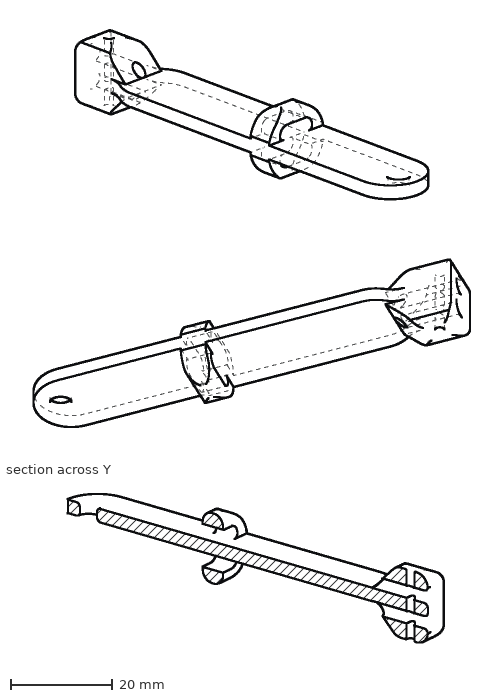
import cadquery as cq
import math

length = 90.5
width = 15.0
height = width
plate_thickness = 3.0
envelope_radius = 7.8

head_width = 10.05
head_length = 14.0
edge_radius = 3.0

end_radius = width / 2
shoulder_end_x = 18.0
shoulder_outer_radius = 7.5
shoulder_inner_radius = 6.3

loop_center_x = 54.0
loop_length = 5.25
loop_edge_radius = 2.4
opening_width = 9.0
opening_top = 4.5
opening_outer_radius = 2.0
opening_plate_radius = 0.9

cord_hole_diameter = 2.5
cord_hole_offset = 2.7
cord_mouth_radius = 1.1
pin_hole_diameter = 1.8
pin_hole_x = 4.4
pin_mouth_radius = 0.45
hang_hole_diameter = 4.2
hang_hole_x = 85.25
hang_mouth_radius = 1.0


def make_envelope():
    """Lengthwise cylinder that rounds off the corners of the section."""
    return cq.Workplane("YZ").circle(envelope_radius).extrude(length)


def make_plate():
    """Flat bar with a round end and tangent-arc shoulders."""
    half_head = head_width / 2
    half_width = width / 2
    radius_sum = shoulder_outer_radius + shoulder_inner_radius
    sweep = math.acos(1 - (half_width - half_head) / radius_sum)
    shoulder_start_x = shoulder_end_x - radius_sum * math.sin(sweep)
    joint_x = shoulder_end_x - shoulder_outer_radius * math.sin(sweep)
    joint_y = half_width - shoulder_outer_radius * (1 - math.cos(sweep))
    return (
        cq.Workplane("XY", origin=(0, 0, -plate_thickness / 2))
        .moveTo(shoulder_start_x, -half_head)
        .radiusArc((joint_x, -joint_y), shoulder_inner_radius)
        .radiusArc((shoulder_end_x, -half_width), -shoulder_outer_radius)
        .lineTo(length - end_radius, -half_width)
        .threePointArc((length, 0), (length - end_radius, half_width))
        .lineTo(shoulder_end_x, half_width)
        .radiusArc((joint_x, joint_y), -shoulder_outer_radius)
        .radiusArc((shoulder_start_x, half_head), shoulder_inner_radius)
        .close()
        .extrude(plate_thickness)
    )


def make_head():
    """Block tapering at 45 degrees to the plate, with rounded edges."""
    taper = (height - plate_thickness) / 2
    side_profile = (
        cq.Workplane("XZ", origin=(0, head_width / 2, 0))
        .moveTo(0, -height / 2)
        .lineTo(head_length - taper, -height / 2)
        .lineTo(head_length, -plate_thickness / 2)
        .lineTo(head_length, plate_thickness / 2)
        .lineTo(head_length - taper, height / 2)
        .lineTo(0, height / 2)
        .close()
        .extrude(head_width)
    )
    rounded_profile = side_profile.edges("|Y and (>Z or <Z)").fillet(edge_radius)
    rounded_section = (
        cq.Workplane("XY")
        .box(head_length, head_width, height, centered=(False, True, True))
        .edges("|X")
        .fillet(edge_radius)
    )
    return rounded_profile.intersect(rounded_section).intersect(make_envelope())


def make_loops():
    """Rounded collar around the plate, open above and below it."""
    origin = (loop_center_x, 0, 0)
    collar = (
        cq.Workplane("XY", origin=origin)
        .box(loop_length, width, height)
        .edges("|Y")
        .fillet(loop_edge_radius)
    )
    loops = collar.intersect(make_envelope())
    opening_height = opening_top - plate_thickness / 2
    for side, outer_face, plate_face in ((1, ">Z", "<Z"), (-1, "<Z", ">Z")):
        opening = (
            cq.Workplane("XY", origin=(loop_center_x, 0, side * (opening_top - opening_height / 2)))
            .box(loop_length, opening_width, opening_height)
            .faces(outer_face)
            .edges("|X")
            .fillet(opening_outer_radius)
            .faces(plate_face)
            .edges("|X")
            .fillet(opening_plate_radius)
        )
        loops = loops.cut(opening)
    return loops


def make_hole(start, direction, depth, diameter, mouth_radius, both_ends=True):
    """Round cutter whose mouths flare as quarter-circle fillets."""
    radius = diameter / 2
    mouth = radius + mouth_radius
    bend = mouth_radius * math.sqrt(0.5)
    profile = (
        cq.Workplane("XY")
        .lineTo(mouth, 0)
        .threePointArc((mouth - bend, mouth_radius - bend), (radius, mouth_radius))
    )
    if both_ends:
        profile = (
            profile.lineTo(radius, depth - mouth_radius)
            .threePointArc((mouth - bend, depth - mouth_radius + bend), (mouth, depth))
        )
    else:
        profile = profile.lineTo(radius, depth)
    cutter = profile.lineTo(0, depth).close().revolve(360, (0, 0), (0, 1)).val()
    if direction == "X":
        cutter = cutter.rotate(cq.Vector(0, 0, 0), cq.Vector(0, 0, 1), -90)
    else:
        cutter = cutter.rotate(cq.Vector(0, 0, 0), cq.Vector(1, 0, 0), 90)
    return cutter.translate(cq.Vector(*start))


result = make_plate().union(make_head())

for side in (-1, 1):
    start = (0, 0, side * cord_hole_offset)
    result = result.cut(
        make_hole(start, "X", head_length, cord_hole_diameter, cord_mouth_radius, both_ends=False)
    )

result = result.cut(
    make_hole((pin_hole_x, 0, -height / 2), "Z", height, pin_hole_diameter, pin_mouth_radius)
)
result = result.cut(
    make_hole(
        (hang_hole_x, 0, -plate_thickness / 2),
        "Z",
        plate_thickness,
        hang_hole_diameter,
        hang_mouth_radius,
    )
)
result = result.union(make_loops())